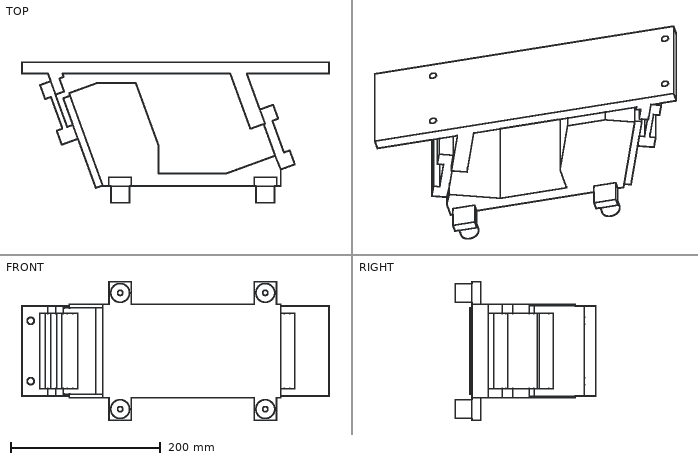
import cadquery as cq
import math


plate_length = 410.0
plate_thickness = 15.0
plate_height = 120.0
plate_hole_diameter = 9.0
plate_hole_xs = (12.0, 330.0)
plate_hole_z = 40.0

lean = math.radians(20)

left_arm_x = 35.0
left_arm_length = 30.0
left_arm_thickness = 12.5
left_root_length = 11.5
left_root_thickness = 18.5

right_arm_x = 300.0
right_arm_length = 71.0
right_arm_thickness = 21.0

strap_length = 85.0
strap_height = 100.0
clamp_length = 20.0
clamp_thickness = 8.0
left_strap_start = 10.5
left_strap_thickness = 7.0
right_strap_start = 51.0
right_strap_thickness = 12.7
right_strap_recess = 2.0

panel_start = 37.7
panel_length = 127.5
panel_thickness = 10.0
panel_height = 115.0
panel_gap = 7.8

body_height = 125.0
body_front_y = -165.2
body_back_y = -27.5
body_left_start = 34.0
block_back_right_x = 152.0
block_right_x = 182.5
floor_y = -148.0
body_right_x = 345.5

tab_size = 30.0
tab_thickness = 12.0
stud_xs = (131.0, 324.7)
stud_diameter = 25.0
stud_hole_diameter = 7.0
drill_point_half_angle = math.radians(59)
stud_front_y = -187.5


def leaning_plane(x):
    """Plane whose local x runs down the leaning arm and local y points toward +X."""
    return cq.Plane(
        origin=(x, -plate_thickness, 0),
        xDir=(math.sin(lean), -math.cos(lean), 0),
        normal=(0, 0, 1),
    )


left_plane = leaning_plane(left_arm_x)
right_plane = leaning_plane(right_arm_x)


def slab(plane, start, length, near, far, height):
    """Box in a leaning plane, from start along it and from near to far across it."""
    return (
        cq.Workplane(plane)
        .center(start + length / 2, (near + far) / 2)
        .box(length, far - near, height)
    )


def world_xy(plane, along, across):
    point = plane.toWorldCoords((along, across, 0))
    return point.x, point.y


def make_plate():
    plate = cq.Workplane("XY").box(
        plate_length, plate_thickness, plate_height, centered=(False, False, True)
    ).translate((0, -plate_thickness, 0))
    hole_points = [(x, side * plate_hole_z) for x in plate_hole_xs for side in (-1, 1)]
    holes = (
        cq.Workplane("XZ")
        .pushPoints(hole_points)
        .circle(plate_hole_diameter / 2)
        .extrude(plate_thickness)
    )
    return plate.cut(holes)


def make_left_arm():
    arm = slab(left_plane, 0, left_arm_length, 0, left_arm_thickness, plate_height)
    root = slab(left_plane, 0, left_root_length, 0, left_root_thickness, plate_height)
    return arm.union(root)


def make_right_arm():
    buried = right_arm_thickness * math.tan(lean)
    return slab(
        right_plane, -buried, right_arm_length + buried, -right_arm_thickness, 0, plate_height
    )


def make_clamps(plane, strap_start, near, far):
    upper = slab(plane, strap_start, clamp_length, near, far, strap_height)
    lower_start = strap_start + strap_length - clamp_length
    lower = slab(plane, lower_start, clamp_length, near, far, strap_height)
    return upper.union(lower)


def make_left_strap():
    outer = -left_strap_thickness
    strap = slab(left_plane, left_strap_start, strap_length, outer, 0, strap_height)
    clamps = make_clamps(left_plane, left_strap_start, outer - clamp_thickness, outer)
    spacer_start = left_strap_start + strap_length - clamp_length
    spacer = slab(left_plane, spacer_start, clamp_length, 0, panel_gap, strap_height)
    return strap.union(clamps).union(spacer)


def make_right_strap():
    inner = -right_strap_recess
    outer = inner + right_strap_thickness
    strap = slab(right_plane, right_strap_start, strap_length, inner, outer, strap_height)
    clamps = make_clamps(right_plane, right_strap_start, outer, outer + clamp_thickness)
    return strap.union(clamps)


def make_panel():
    return slab(
        left_plane, panel_start, panel_length, panel_gap, panel_gap + panel_thickness, panel_height
    )


def make_body():
    slope = math.tan(lean)
    left_x, left_y = world_xy(left_plane, body_left_start, panel_gap + panel_thickness)
    strap_end = right_strap_start + strap_length
    ramp_x, ramp_y = world_xy(right_plane, strap_end - clamp_length, -right_strap_recess)
    foot_y = world_xy(right_plane, strap_end, -right_strap_recess)[1]
    outline = [
        (left_x, left_y),
        (left_x + (body_back_y - left_y) / slope, body_back_y),
        (block_back_right_x, body_back_y),
        (block_right_x, body_back_y - (block_right_x - block_back_right_x) / slope),
        (block_right_x, floor_y),
        (ramp_x - (ramp_y - floor_y) / slope, floor_y),
        (ramp_x, ramp_y),
        (body_right_x, foot_y),
        (body_right_x, body_front_y),
        (left_x + (left_y - body_front_y) * slope, body_front_y),
    ]
    return (
        cq.Workplane("XY")
        .polyline(outline)
        .close()
        .extrude(body_height / 2, both=True)
    )


def make_drilled_hole(x, z, depth):
    """Blind hole from a stud's front face, ending in a conical drill point."""
    radius = stud_hole_diameter / 2
    bottom_y = stud_front_y + depth
    tip_y = bottom_y + radius / math.tan(drill_point_half_angle)
    return (
        cq.Workplane("XY")
        .moveTo(0, stud_front_y)
        .lineTo(radius, stud_front_y)
        .lineTo(radius, bottom_y)
        .lineTo(0, tip_y)
        .close()
        .revolve(360, (0, 0), (0, 1))
        .translate((x, 0, z))
    )


def make_mount(x, side):
    """Tab on the top or bottom edge of the body, with a drilled stud on its front."""
    z = side * (body_height + tab_size) / 2
    tab = cq.Workplane("XY").box(tab_size, tab_thickness, tab_size).translate(
        (x, body_front_y + tab_thickness / 2, z)
    )
    stud_length = body_front_y - stud_front_y
    stud_base = cq.Workplane("XZ", origin=(x, body_front_y, z))
    stud = stud_base.circle(stud_diameter / 2).extrude(stud_length)
    return tab.union(stud).cut(make_drilled_hole(x, z, stud_length))


result = make_plate()
for piece in (
    make_left_arm(),
    make_right_arm(),
    make_left_strap(),
    make_right_strap(),
    make_panel(),
    make_body(),
):
    result = result.union(piece)
for mount_x in stud_xs:
    for mount_side in (-1, 1):
        result = result.union(make_mount(mount_x, mount_side))